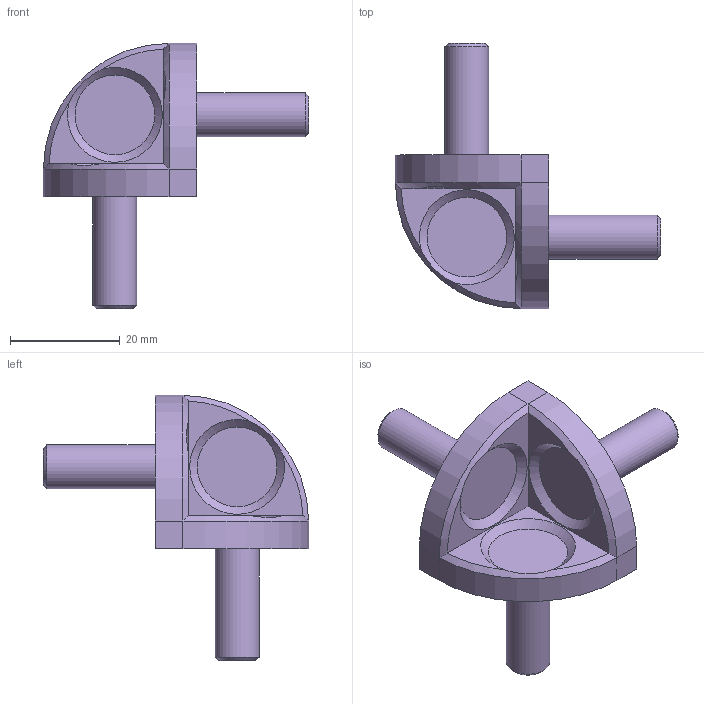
import cadquery as cq
import math


plate_size = 28.0
plate_thickness = 6.1
rim_chamfer = 1.0
rim_height = plate_thickness - rim_chamfer
arc_radius = plate_size - rim_height

overall_size = 48.35
stud_length = overall_size - plate_size
stud_diameter = 8.0
stud_tip_chamfer = 0.65
axis_offset = 14.97
recess_mouth_radius = 8.65
recess_floor_radius = 7.25
recess_depth = 1.35

ARM_COUNT = 3


def make_plate():
    """Plate lying on XY with its outer corner at the origin."""
    arc_middle = rim_height + arc_radius * math.cos(math.radians(45))
    return (
        cq.Workplane("XY")
        .lineTo(plate_size, 0)
        .lineTo(plate_size, rim_height)
        .threePointArc((arc_middle, arc_middle), (rim_height, plate_size))
        .lineTo(0, plate_size)
        .close()
        .extrude(plate_thickness)
        .faces(">Z")
        .edges("%CIRCLE")
        .chamfer(rim_chamfer)
    )


def make_stud():
    """Stud hanging from the outer face of the plate on XY."""
    return (
        cq.Workplane("XY")
        .center(axis_offset, axis_offset)
        .circle(stud_diameter / 2)
        .extrude(-stud_length)
        .faces("<Z")
        .chamfer(stud_tip_chamfer)
    )


def make_recess():
    """Cone frustum sunk into the inner face of the plate on XY."""
    return cq.Workplane(
        cq.Solid.makeCone(
            recess_mouth_radius,
            recess_floor_radius,
            recess_depth,
            pnt=cq.Vector(axis_offset, axis_offset, plate_thickness),
            dir=cq.Vector(0, 0, -1),
        )
    )


def place_arm(shape, index):
    """Turn a shape about the cube diagonal so that it serves arm number index."""
    return shape.rotate((0, 0, 0), (1, 1, 1), index * 360 / ARM_COUNT)


body = make_plate().union(make_stud())
for arm in range(1, ARM_COUNT):
    body = body.union(place_arm(make_plate().union(make_stud()), arm))
for arm in range(ARM_COUNT):
    body = body.cut(place_arm(make_recess(), arm))

result = body.rotate((0, 0, 0), (0, 0, 1), 180)